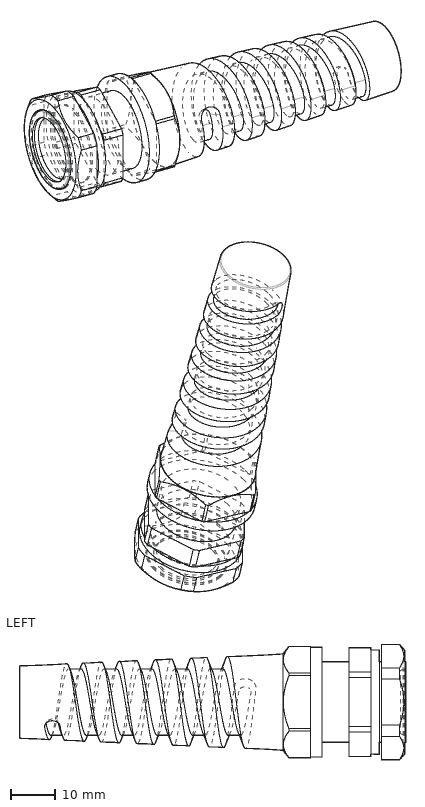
import cadquery as cq
import math

LENGTH = 87.0

BODY_DIAMETER = 18.2
RECESS_MOUTH_DIAMETER = 15.0
RECESS_FLOOR_DIAMETER = 14.1
RECESS_STRAIGHT_DEPTH = 0.5
RECESS_DEPTH = 1.3
BODY_END_ROUNDING = 0.2

NUT_BORE_DIAMETER = 18.5
NUT_CLEARANCE_DEPTH = 0.4
NUT_FACE_LEVEL = 0.3
NUT_TOP = 5.6
NUT_FLATS = 23.8
NUT_CORNERS = 26.0
NUT_FACE_DIAMETER = 23.3
NUT_CHAMFER_HEIGHT = 1.2

WASHER_DIAMETER = 23.5
WASHER_BOTTOM = 6.0
WASHER_TOP = 7.9

BODY_HEX_FLATS = 21.9
BODY_HEX_CORNERS = 24.5
BODY_HEX_TOP = 12.9

FLANGE_DIAMETER = 24.8
FLANGE_BOTTOM = 18.9
FLANGE_TOP = 21.5
CAP_HEX_FLATS = 22.0
CAP_HEX_CORNERS = 25.05
CAP_HEX_TOP = 27.7
CAP_FACE_DIAMETER = 21.9
CAP_CHAMFER_HEIGHT = 1.3

SLEEVE_BASE_DIAMETER = 21.75
SLEEVE_TIP_DIAMETER = 16.35
CORE_DIAMETER = 15.0
TIP_ROUNDING = 0.3

GROOVE_START_LEVEL = 36.3
GROOVE_END_LEVEL = 79.6
GROOVE_START_ANGLE = -17.0
GROOVE_FULL_TURNS = 5
GROOVE_EXTRA_ANGLE = 156.0
GROOVE_SWEEP_ANGLE = 360 * GROOVE_FULL_TURNS + GROOVE_EXTRA_ANGLE
GROOVE_RISE = GROOVE_END_LEVEL - GROOVE_START_LEVEL
GROOVE_PITCH = GROOVE_RISE * 360 / GROOVE_SWEEP_ANGLE
GROOVE_FLOOR_WIDTH = 2.8
GROOVE_WALL_ANGLE = 20.0

CUTTER_INNER_MARGIN = 0.4
CUTTER_OUTER_MARGIN = 1.3
CUTTER_INNER_RADIUS = CORE_DIAMETER / 2 - CUTTER_INNER_MARGIN
CUTTER_OUTER_RADIUS = SLEEVE_BASE_DIAMETER / 2 + CUTTER_OUTER_MARGIN


def cylinder(diameter, bottom, top):
    return cq.Workplane("XY", origin=(0, 0, bottom)).circle(diameter / 2).extrude(top - bottom)


def cone(bottom_diameter, top_diameter, bottom, top):
    return cq.Workplane(obj=cq.Solid.makeCone(
        bottom_diameter / 2, top_diameter / 2, top - bottom, pnt=cq.Vector(0, 0, bottom)))


def hexagon(flats, corners, bottom, top):
    """Hexagonal prism, flats facing +X and -X, with its corners turned down to a diameter."""
    prism = (
        cq.Workplane("XY", origin=(0, 0, bottom))
        .polygon(6, flats, circumscribed=True)
        .extrude(top - bottom)
    )
    return prism.intersect(cylinder(corners, bottom, top))


def lock_nut():
    chamfer_end = NUT_FACE_LEVEL + NUT_CHAMFER_HEIGHT
    envelope = cone(NUT_FACE_DIAMETER, NUT_CORNERS, NUT_FACE_LEVEL, chamfer_end).union(
        cylinder(NUT_CORNERS, chamfer_end, NUT_TOP))
    nut = hexagon(NUT_FLATS, NUT_CORNERS, NUT_FACE_LEVEL, NUT_TOP).intersect(envelope)
    clearance_top = NUT_FACE_LEVEL + NUT_CLEARANCE_DEPTH
    return nut.cut(cylinder(NUT_BORE_DIAMETER, NUT_FACE_LEVEL, clearance_top))


def body():
    tube = cylinder(BODY_DIAMETER, 0, FLANGE_BOTTOM)
    tube = tube.faces("<Z").edges().fillet(BODY_END_ROUNDING)
    recess = cylinder(RECESS_MOUTH_DIAMETER, 0, RECESS_STRAIGHT_DEPTH).union(
        cone(RECESS_MOUTH_DIAMETER, RECESS_FLOOR_DIAMETER, RECESS_STRAIGHT_DEPTH, RECESS_DEPTH))
    washer = cylinder(WASHER_DIAMETER, WASHER_BOTTOM, WASHER_TOP)
    grip = hexagon(BODY_HEX_FLATS, BODY_HEX_CORNERS, WASHER_TOP, BODY_HEX_TOP)
    return lock_nut().union(tube).union(washer).union(grip).cut(recess)


def cap_nut():
    chamfer_start = CAP_HEX_TOP - CAP_CHAMFER_HEIGHT
    envelope = cylinder(CAP_HEX_CORNERS, FLANGE_TOP, chamfer_start).union(
        cone(CAP_HEX_CORNERS, CAP_FACE_DIAMETER, chamfer_start, CAP_HEX_TOP))
    grip = hexagon(CAP_HEX_FLATS, CAP_HEX_CORNERS, FLANGE_TOP, CAP_HEX_TOP).intersect(envelope)
    return cylinder(FLANGE_DIAMETER, FLANGE_BOTTOM, FLANGE_TOP).union(grip)


def groove_half_width(radius):
    """Half the groove width at a distance from the axis."""
    rise = radius - CORE_DIAMETER / 2
    return GROOVE_FLOOR_WIDTH / 2 + rise * math.tan(math.radians(GROOVE_WALL_ANGLE))


def groove_end(turn_angle):
    """Round end of the groove: a cone pointing at the axis, placed along the spiral."""
    end_cone = cq.Solid.makeCone(
        groove_half_width(CUTTER_INNER_RADIUS),
        groove_half_width(CUTTER_OUTER_RADIUS),
        CUTTER_OUTER_RADIUS - CUTTER_INNER_RADIUS,
        pnt=cq.Vector(CUTTER_INNER_RADIUS, 0, GROOVE_PITCH * turn_angle / 360),
        dir=cq.Vector(1, 0, 0),
    )
    return cq.Workplane(obj=end_cone).rotate((0, 0, 0), (0, 0, 1), turn_angle)


def groove_channel():
    """Trapezoidal groove section swept along the spiral."""
    spiral = cq.Wire.makeHelix(GROOVE_PITCH, GROOVE_RISE, CORE_DIAMETER / 2)
    inner_half_width = groove_half_width(CUTTER_INNER_RADIUS)
    outer_half_width = groove_half_width(CUTTER_OUTER_RADIUS)
    section = (
        cq.Workplane("XZ")
        .polyline([
            (CUTTER_INNER_RADIUS, -inner_half_width),
            (CUTTER_OUTER_RADIUS, -outer_half_width),
            (CUTTER_OUTER_RADIUS, outer_half_width),
            (CUTTER_INNER_RADIUS, inner_half_width),
        ])
        .close()
    )
    return section.sweep(cq.Workplane(obj=spiral), isFrenet=True)


def sleeve():
    taper = cone(SLEEVE_BASE_DIAMETER, SLEEVE_TIP_DIAMETER, CAP_HEX_TOP, LENGTH)
    shell = taper.faces(">Z").edges().fillet(TIP_ROUNDING)
    for cutter in (groove_channel(), groove_end(0), groove_end(GROOVE_SWEEP_ANGLE)):
        turned = cutter.rotate((0, 0, 0), (0, 0, 1), GROOVE_START_ANGLE)
        shell = shell.cut(turned.translate((0, 0, GROOVE_START_LEVEL)))
    return shell.union(cylinder(CORE_DIAMETER, CAP_HEX_TOP, LENGTH))


gland = body().union(cap_nut()).union(sleeve())
result = gland.rotate((0, 0, 0), (1, 0, 0), -90)